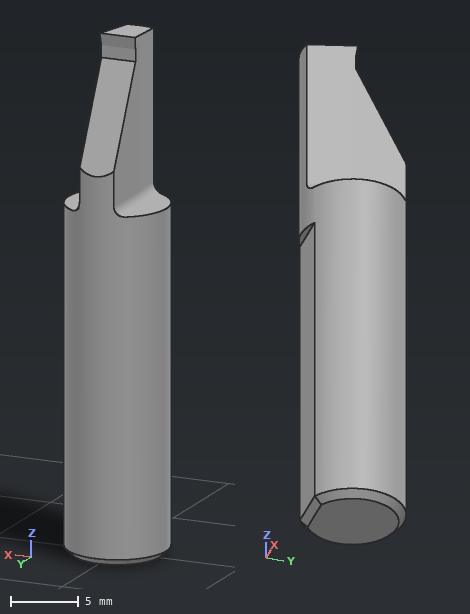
import cadquery as cq
import math

overall_length = 40.0
shank_radius = 4.0
shoulder_z = 27.1
flat_depth = 0.5
flat_top_z = 24.0
base_chamfer = 0.55

neck_half_width = 1.4
left_taper_start_y = -1.0
left_taper_angle = 3.0
right_taper_start_y = -0.55
right_taper_angle = 7.0
root_fillet = 0.8

head_bottom_z = 39.05
top_drop = 0.3
head_setback = 0.15
back_relief_top_z = 38.1
back_relief_bottom_z = 30.1

left_slope = math.tan(math.radians(left_taper_angle))
right_slope = math.tan(math.radians(right_taper_angle))


def left_taper_x(y):
    return -neck_half_width - (y - left_taper_start_y) * left_slope


def right_taper_x(y):
    return neck_half_width + (y - right_taper_start_y) * right_slope


def make_shank():
    """Chamfered round shank with its clamping flat, which is bevelled at the base."""
    shank = cq.Workplane("XY").circle(shank_radius).extrude(shoulder_z).faces("<Z").chamfer(base_chamfer)
    flat_y = flat_depth - shank_radius
    flat_cut = cq.Workplane("XY").box(
        2 * shank_radius, shank_radius, flat_top_z, centered=(True, False, False)
    ).translate((0, flat_y - shank_radius, 0))
    bevel = [
        (flat_y, 0),
        (flat_y + base_chamfer, 0),
        (flat_y, base_chamfer),
    ]
    bevel_cut = cq.Workplane("YZ").polyline(bevel).close().extrude(shank_radius, both=True)
    return shank.cut(flat_cut).cut(bevel_cut)


def make_neck():
    """Neck with concave fillets where its sides meet the shoulder."""
    plan = [
        (left_taper_x(-shank_radius), -shank_radius),
        (right_taper_x(-shank_radius), -shank_radius),
        (neck_half_width, right_taper_start_y),
        (neck_half_width, shank_radius),
        (-neck_half_width, shank_radius),
        (-neck_half_width, left_taper_start_y),
    ]
    plinth = cq.Workplane("XY").workplane(offset=shoulder_z - root_fillet).rect(
        4 * shank_radius, 2 * shank_radius).extrude(root_fillet)
    blade = cq.Workplane("XY").workplane(offset=shoulder_z).polyline(plan).close().extrude(
        overall_length - shoulder_z)
    margin = 0.05
    root_edges = cq.selectors.BoxSelector(
        (-neck_half_width - margin, margin - shank_radius, shoulder_z - margin),
        (neck_half_width + margin, shank_radius - margin, shoulder_z + margin),
    )
    return plinth.union(blade).edges(root_edges).fillet(root_fillet)


def make_head():
    """Cutting head: the tapered sides run on to the cutting edge, relieved below it."""
    left_tip_x = left_taper_x(0)
    right_tip_x = right_taper_x(0)
    plan = [
        (left_taper_x(-shank_radius), -shank_radius),
        (right_taper_x(-shank_radius), -shank_radius),
        (right_tip_x, 0),
        (left_tip_x, 0),
    ]
    relief = [
        (-neck_half_width, head_bottom_z),
        (neck_half_width, head_bottom_z),
        (right_tip_x, overall_length),
        (left_tip_x, overall_length),
    ]
    block = cq.Workplane("XY").workplane(offset=head_bottom_z).polyline(plan).close().extrude(
        overall_length - head_bottom_z)
    relieved = cq.Workplane("XZ").polyline(relief).close().extrude(shank_radius)
    return block.intersect(relieved)


def make_side_profile():
    """Side outline with sloping top, rake below the cutting edge and long back relief."""
    outline = [
        (-shank_radius, shoulder_z - root_fillet),
        (-shank_radius, overall_length - top_drop),
        (0, overall_length),
        (-head_setback, head_bottom_z),
        (-head_setback, back_relief_top_z),
        (shank_radius, back_relief_bottom_z),
        (shank_radius, shoulder_z - root_fillet),
    ]
    return cq.Workplane("YZ").polyline(outline).close().extrude(shank_radius, both=True)


envelope = cq.Workplane("XY").circle(shank_radius).extrude(overall_length)
neck = make_neck().union(make_head()).intersect(make_side_profile()).intersect(envelope)
result = make_shank().union(neck)